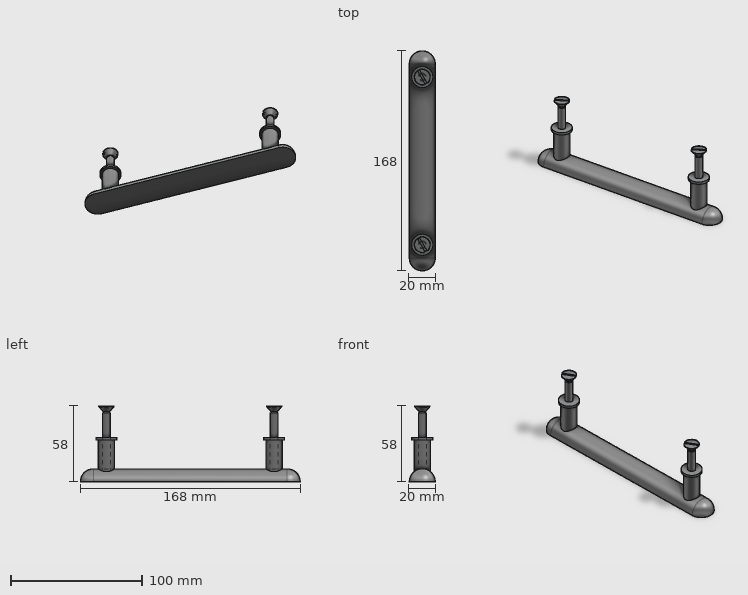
import cadquery as cq

overall_length = 168.0
bar_radius = 10.0
straight_length = overall_length - 2 * bar_radius

post_spacing = 128.0
post_diameter = 12.6
post_top = 32.0

rose_diameter = 16.1
rose_thickness = 2.0
rose_top = post_top + rose_thickness

screw_top = 58.0
shank_diameter = 6.0
shank_top = 52.5
neck_diameter = 4.9
head_diameter = 11.8
head_rim = 0.5
head_height = 4.4
slot_width = 1.7
slot_depth = 1.0
slot_angle = -60.0
head_bottom = screw_top - head_height

post_positions = [(0, -post_spacing / 2), (0, post_spacing / 2)]


def cylinder(diameter, bottom, top):
    """Vertical cylinder on the Z axis between two heights."""
    return cq.Workplane("XY").workplane(offset=bottom).circle(diameter / 2).extrude(top - bottom)


def make_handle():
    """Half-round bar and its two posts, each bored for a screw shank."""
    rod = cq.Workplane("XZ").circle(bar_radius).extrude(straight_length / 2, both=True)
    for side in (-1, 1):
        end = cq.Workplane("XY").sphere(bar_radius).translate((0, side * straight_length / 2, 0))
        rod = rod.union(end)
    upper_half = cq.Workplane("XY").box(
        2 * bar_radius, overall_length, bar_radius, centered=(True, True, False)
    )
    handle = rod.intersect(upper_half)
    post = cylinder(post_diameter, 0, post_top)
    bore = cylinder(shank_diameter, bar_radius, post_top)
    for x, y in post_positions:
        handle = handle.union(post.translate((x, y, 0)))
        handle = handle.cut(bore.translate((x, y, 0)))
    return handle


def make_rose():
    """Flat ring around the screw shank."""
    disc = cylinder(rose_diameter, post_top, rose_top)
    return disc.cut(cylinder(shank_diameter, post_top, rose_top))


def make_screw():
    """Shank, neck and conical head as one turned profile, with a slot across the head."""
    screw = (
        cq.Workplane("XZ")
        .moveTo(0, bar_radius)
        .lineTo(shank_diameter / 2, bar_radius)
        .lineTo(shank_diameter / 2, shank_top)
        .lineTo(neck_diameter / 2, shank_top)
        .lineTo(neck_diameter / 2, head_bottom)
        .lineTo(head_diameter / 2, screw_top - head_rim)
        .lineTo(head_diameter / 2, screw_top)
        .lineTo(0, screw_top)
        .close()
        .revolve(360, (0, 0, 0), (0, 1, 0))
    )
    slot = (
        cq.Workplane("XY")
        .workplane(offset=screw_top - slot_depth)
        .transformed(rotate=(0, 0, slot_angle))
        .rect(head_diameter, slot_width)
        .extrude(slot_depth)
    )
    return screw.cut(slot)


handle = make_handle()
roses = [make_rose().translate((x, y, 0)) for x, y in post_positions]
screws = [make_screw().translate((x, y, 0)) for x, y in post_positions]

result = cq.Compound.makeCompound(
    [
        handle.val(),
        *[rose.val() for rose in roses],
        *[screw.val() for screw in screws],
    ]
)